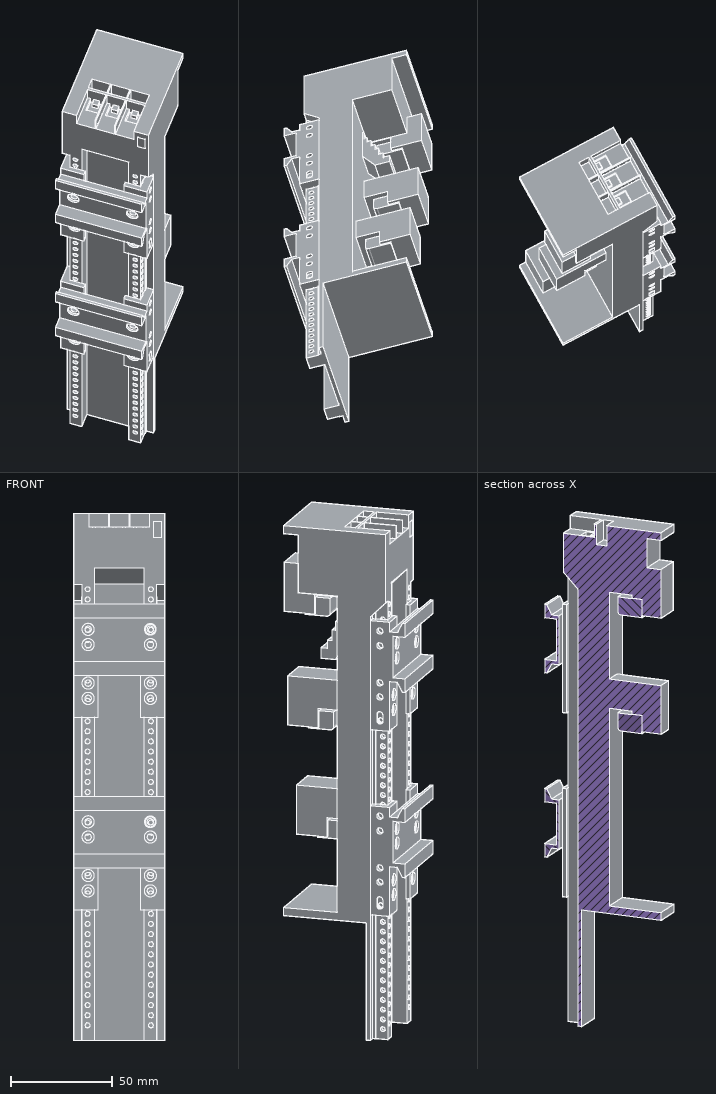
import cadquery as cq


WIDTH = 45.0
HEIGHT = 260.0
HALF_WIDTH = WIDTH / 2
REAR_Y = 52.8
HEAD_REAR_Y = 45.2
BACK_Y = 25.0
FLOOR_Y = 7.8
TAIL_REAR_Y = 10.0
HEAD_BOTTOM_Z = 226.2
MAIN_BOTTOM_Z = 60.0
LIP_THICKNESS = 4.2

RIDGE_INNER_X = 12.2
RIDGE_OUTER_X = 18.5
RIDGE_FOOT_LEDGE = 0.3
RIDGE_FOOT_Y = 6.2
CHANNEL_TOP_Z = 233.0
RECESS_TOP_Z = 225.0
HOLE_PITCH = HEIGHT / 52
FRONT_HOLE_DIAMETER = 2.4
FRONT_HOLE_X = 15.5
FRONT_HOLE_FIRST_Z = 7.5
FRONT_HOLE_COUNT = 44
SIDE_HOLE_DIAMETER = 2.5
SIDE_HOLE_Y = 2.5
SIDE_HOLE_FIRST_Z = 5.2
SIDE_HOLE_COUNT = 43
PERFORATION_DEPTH = 2.5

CHAMBER_COUNT = 3
CHAMBER_PITCH = 10.1
CHAMBER_DIVIDER = 0.5
CHAMBER_REAR_Y = 23.5
CHAMBER_DEPTH = 6.8
WELL_FRONT_Y = 18.0
WELL_DEPTH = 10.5
CHAMBER_WALL_THICKNESS = 1.3
CLAMP_WIDTH = 6.2
CLAMP_FRONT_Y = 9.4
CLAMP_DEPTH = 2.5
CLAMP_TONGUE_WIDTH = 3.0
CLAMP_TONGUE_LENGTH = 2.9

BUSBAR_PITCH = 59.8
FIRST_HOOK_TOP_Z = 241.0
HOOK_HEIGHT = 25.2
HOOK_ARM_HEIGHT = 15.3
HOOK_JAW_Y = 37.0
HOOK_WIDTH = 18.0
HOOK_LEFT_XS = (-21.5, -15.9, -1.8)
CLIP_INSET = 1.5
CLIP_REAR_Y = 42.5
CLIP_FRONT_Y = 29.5
CLIP_GAP = 1.5
CLIP_DROP = 1.0
CLIP_FILLET = 1.8

LATCH_WIDTH = 10.5
LATCH_TIP_Y = 39.0
LATCH_TIP_TOP_Z = 194.0
LATCH_BOTTOM_Z = 188.5
LATCH_HEEL_Y = 31.5
LATCH_ROOT_Z = 200.0
LATCH_STEP_POINTS = ((35.5, 198.0), (33.3, 203.5), (31.5, 208.0), (29.5, 212.7), (27.3, 216.5))
LATCH_LIP_Y = 25.7
LATCH_TOP_Z = 222.3

LABEL_LEFT_X = 17.0
LABEL_WIDTH = 4.0
LABEL_BOTTOM_Z = 248.0
LABEL_HEIGHT = 7.8
LABEL_THICKNESS = 1.3

CARRIER_TOP_ZS = (215.3, 120.5)
CARRIER_HEIGHT = 56.0
CARRIER_FRONT_Y = -2.2
FOOT_INNER_X = 10.5
RAIL_HEIGHT = 35.4
RAIL_FRONT_Y = -10.1
RAIL_WEB_FRONT_Y = -4.0
RAIL_EDGE_Z = 7.0
RAIL_FLANGE_THICKNESS = 2.0
RAIL_SLOPE_Y = -6.2
RAIL_TIP_Y = -8.8
SCREW_X = 15.3
SCREW_DROPS = (12.5, 20.0, 39.0, 46.5)
SCREW_HOLE_DIAMETER = 3.0
SCREW_HEAD_DIAMETER = 6.0
SCREW_HEAD_DEPTH = 1.0
STEPPED_HEAD_DIAMETERS = (5.7, 5.0)
PIN_HOLE_DIAMETER = 3.0
PIN_HOLE_Y = 2.9
PIN_HOLE_DROPS = (5.0, 12.5, 31.5, 38.7)
PIN_HOLE_DEPTH = 2.5
SLOT_TOP_DROP = 47.8
SLOT_BOTTOM_DROP = 51.0
SLOT_DEPTH = 1.3
SLOT_HOLE_DIAMETER = 2.4


def box(x_range, y_range, z_range):
    """A box given by its (low, high) limits along each axis."""
    (x0, x1), (y0, y1), (z0, z1) = x_range, y_range, z_range
    return cq.Workplane("XY").box(x1 - x0, y1 - y0, z1 - z0, centered=False).translate((x0, y0, z0))


def side_profile(points, x_range):
    """A prism along X from an outline of (y, z) points."""
    x0, x1 = x_range
    return cq.Workplane("YZ").polyline(points).close().extrude(x1 - x0).translate((x0, 0, 0))


def mirrored(half):
    """A shape together with its mirror image across the middle of the part."""
    return half.union(half.mirror("YZ"))


def front_cylinder(diameter, depth, x, front_y, z):
    """A cylinder running from front_y toward +Y."""
    return cq.Solid.makeCylinder(diameter / 2, depth, cq.Vector(x, front_y, z), cq.Vector(0, 1, 0))


def side_cylinders(diameter, depth, outer_x, y, z):
    """Two cylinders running inward along X from the left and right sides."""
    return [
        cq.Solid.makeCylinder(diameter / 2, depth, cq.Vector(side * outer_x, y, z), cq.Vector(-side, 0, 0))
        for side in (-1, 1)
    ]


def hook_top(index):
    return FIRST_HOOK_TOP_Z - index * BUSBAR_PITCH


def make_hook(index):
    """An arm from the back of the housing with a jaw hanging from its end."""
    top_z = hook_top(index)
    arm_z = top_z - HOOK_ARM_HEIGHT
    bottom_z = top_z - HOOK_HEIGHT
    outline = [
        (BACK_Y, top_z), (REAR_Y, top_z), (REAR_Y, bottom_z),
        (HOOK_JAW_Y, bottom_z), (HOOK_JAW_Y, arm_z), (BACK_Y, arm_z),
    ]
    left_x = HOOK_LEFT_XS[index]
    return side_profile(outline, (left_x, left_x + HOOK_WIDTH))


def make_clip(index):
    """A contact clip let into the jaw of a hook."""
    top_z = hook_top(index) - HOOK_ARM_HEIGHT - CLIP_GAP
    bottom_z = hook_top(index) - HOOK_HEIGHT - CLIP_DROP
    left_x = HOOK_LEFT_XS[index] + CLIP_INSET
    right_x = HOOK_LEFT_XS[index] + HOOK_WIDTH - CLIP_INSET
    clip = box((left_x, right_x), (CLIP_FRONT_Y, CLIP_REAR_Y), (bottom_z, top_z))
    return clip.edges("<Y and <Z").fillet(CLIP_FILLET)


def make_front_recesses():
    """The middle channel and the two side recesses, each with a 45 degree upper end."""
    def recess(x_range, top_z, floor_y):
        outline = [(0, 0), (floor_y, 0), (floor_y, top_z - floor_y), (0, top_z)]
        return side_profile(outline, x_range)

    foot_x = RIDGE_OUTER_X + RIDGE_FOOT_LEDGE
    side = recess((RIDGE_OUTER_X, HALF_WIDTH), RECESS_TOP_Z, RIDGE_FOOT_Y)
    side = side.union(recess((foot_x, HALF_WIDTH), RECESS_TOP_Z, FLOOR_Y))
    middle = recess((-RIDGE_INNER_X, RIDGE_INNER_X), CHANNEL_TOP_Z, FLOOR_Y)
    return mirrored(side).union(middle)


def make_perforations():
    """Rows of blind holes in the front and the outer side of both ridges."""
    holes = []
    for i in range(FRONT_HOLE_COUNT):
        z = FRONT_HOLE_FIRST_Z + i * HOLE_PITCH
        for x in (-FRONT_HOLE_X, FRONT_HOLE_X):
            holes.append(front_cylinder(FRONT_HOLE_DIAMETER, PERFORATION_DEPTH, x, 0, z))
    for i in range(SIDE_HOLE_COUNT):
        z = SIDE_HOLE_FIRST_Z + i * HOLE_PITCH
        holes += side_cylinders(SIDE_HOLE_DIAMETER, PERFORATION_DEPTH, RIDGE_OUTER_X, SIDE_HOLE_Y, z)
    return cq.Compound.makeCompound(holes)


def make_chamber(centre_x):
    """The space of one terminal chamber, open to the top and the front."""
    half = (CHAMBER_PITCH - CHAMBER_DIVIDER) / 2
    x_range = (centre_x - half, centre_x + half)
    floor_z = HEIGHT - CHAMBER_DEPTH
    wall_front_y = WELL_FRONT_Y - CHAMBER_WALL_THICKNESS
    chamber = box(x_range, (0, wall_front_y), (floor_z, HEIGHT))
    well = box(x_range, (WELL_FRONT_Y, CHAMBER_REAR_Y), (HEIGHT - WELL_DEPTH, HEIGHT))
    clamp_x = (centre_x - CLAMP_WIDTH / 2, centre_x + CLAMP_WIDTH / 2)
    tongue_x = (centre_x - CLAMP_TONGUE_WIDTH / 2, centre_x + CLAMP_TONGUE_WIDTH / 2)
    clamp_z = (floor_z - CLAMP_DEPTH, floor_z)
    clamp = box(clamp_x, (CLAMP_FRONT_Y, wall_front_y), clamp_z)
    tongue = box(tongue_x, (wall_front_y - CLAMP_TONGUE_LENGTH, wall_front_y), clamp_z)
    return chamber.union(well).union(clamp.cut(tongue))


def make_label():
    return box(
        (LABEL_LEFT_X, LABEL_LEFT_X + LABEL_WIDTH),
        (0, LABEL_THICKNESS),
        (LABEL_BOTTOM_Z, LABEL_BOTTOM_Z + LABEL_HEIGHT),
    )


def make_housing(clips, label):
    full_width = (-HALF_WIDTH, HALF_WIDTH)
    outline = [
        (0, 0), (TAIL_REAR_Y, 0), (TAIL_REAR_Y, MAIN_BOTTOM_Z), (REAR_Y, MAIN_BOTTOM_Z),
        (REAR_Y, MAIN_BOTTOM_Z + LIP_THICKNESS), (BACK_Y, MAIN_BOTTOM_Z + LIP_THICKNESS),
        (BACK_Y, HEAD_BOTTOM_Z), (HEAD_REAR_Y, HEAD_BOTTOM_Z),
        (HEAD_REAR_Y, HEIGHT - LIP_THICKNESS), (REAR_Y, HEIGHT - LIP_THICKNESS),
        (REAR_Y, HEIGHT), (0, HEIGHT),
    ]
    housing = side_profile(outline, full_width)
    for index in range(len(HOOK_LEFT_XS)):
        housing = housing.union(make_hook(index))
    housing = housing.cut(make_front_recesses())
    housing = housing.cut(cq.Workplane(make_perforations()))
    for i in range(CHAMBER_COUNT):
        housing = housing.cut(make_chamber((i - (CHAMBER_COUNT - 1) / 2) * CHAMBER_PITCH))
    for insert in [*clips, label]:
        housing = housing.cut(insert)
    return housing


def make_latch():
    """A toothed latch that slants down and away from the back of the housing."""
    outline = [
        (BACK_Y, LATCH_ROOT_Z), (LATCH_HEEL_Y, LATCH_BOTTOM_Z),
        (LATCH_TIP_Y, LATCH_BOTTOM_Z), (LATCH_TIP_Y, LATCH_TIP_TOP_Z),
    ]
    for step_y, step_top_z in LATCH_STEP_POINTS:
        outline.append((step_y, outline[-1][1]))
        outline.append((step_y, step_top_z))
    outline += [(LATCH_LIP_Y, outline[-1][1]), (LATCH_LIP_Y, LATCH_TOP_Z), (BACK_Y, LATCH_TOP_Z)]
    return side_profile(outline, (-LATCH_WIDTH / 2, LATCH_WIDTH / 2))


def make_rail(top_z):
    """A top hat rail, symmetric about its own middle height."""
    middle_z = top_z - RAIL_HEIGHT / 2
    inner_z = RAIL_HEIGHT / 2 - RAIL_EDGE_Z
    flange_z = inner_z + RAIL_FLANGE_THICKNESS
    upper = [
        (CARRIER_FRONT_Y, flange_z), (RAIL_SLOPE_Y, flange_z), (RAIL_TIP_Y, RAIL_HEIGHT / 2),
        (RAIL_FRONT_Y, RAIL_HEIGHT / 2), (RAIL_FRONT_Y, inner_z), (RAIL_WEB_FRONT_Y, inner_z),
    ]
    lower = [(y, -z) for y, z in reversed(upper)]
    outline = [(y, middle_z + z) for y, z in upper + lower]
    return side_profile(outline, (-HALF_WIDTH, HALF_WIDTH))


def make_screw_seats(top_z):
    """Counterbored through holes, two columns of four."""
    cutters = []
    for row, drop in enumerate(SCREW_DROPS):
        z = top_z - drop
        front_y = RAIL_WEB_FRONT_Y if drop < RAIL_HEIGHT else CARRIER_FRONT_Y
        for x in (-SCREW_X, SCREW_X):
            cutters.append(front_cylinder(SCREW_HOLE_DIAMETER, -front_y, x, front_y, z))
            stepped = row == 0 and x > 0
            heads = STEPPED_HEAD_DIAMETERS if stepped else (SCREW_HEAD_DIAMETER,)
            for step, diameter in enumerate(heads, start=1):
                depth = SCREW_HEAD_DEPTH * step
                cutters.append(front_cylinder(diameter, depth, x, front_y, z))
    return cutters


def make_side_slots(top_z):
    """A shallow vertical slot in the outer side of each foot."""
    overall_length = SLOT_BOTTOM_DROP - SLOT_TOP_DROP + PIN_HOLE_DIAMETER
    centre_z = top_z - (SLOT_TOP_DROP + SLOT_BOTTOM_DROP) / 2
    slot = (
        cq.Workplane("YZ", origin=(HALF_WIDTH - SLOT_DEPTH, PIN_HOLE_Y, centre_z))
        .slot2D(overall_length, PIN_HOLE_DIAMETER, angle=90)
        .extrude(SLOT_DEPTH)
    )
    return mirrored(slot)


def make_carrier(top_z):
    """Two feet that wrap the outside of the ridges, joined by a rail."""
    z_range = (top_z - CARRIER_HEIGHT, top_z)
    foot = box((FOOT_INNER_X, HALF_WIDTH), (CARRIER_FRONT_Y, 0), z_range)
    foot = foot.union(box((RIDGE_OUTER_X, HALF_WIDTH), (0, RIDGE_FOOT_Y), z_range))
    foot_x = RIDGE_OUTER_X + RIDGE_FOOT_LEDGE
    foot = foot.union(box((foot_x, HALF_WIDTH), (RIDGE_FOOT_Y, FLOOR_Y), z_range))
    carrier = mirrored(foot).union(make_rail(top_z))
    cutters = make_screw_seats(top_z)
    for drop in PIN_HOLE_DROPS:
        cutters += side_cylinders(PIN_HOLE_DIAMETER, PIN_HOLE_DEPTH, HALF_WIDTH, PIN_HOLE_Y, top_z - drop)
    cutters += side_cylinders(
        SLOT_HOLE_DIAMETER, PIN_HOLE_DEPTH, HALF_WIDTH, PIN_HOLE_Y, top_z - SLOT_BOTTOM_DROP
    )
    for cutter in cutters:
        carrier = carrier.cut(cq.Workplane(cutter))
    return carrier.cut(make_side_slots(top_z))


clips = [make_clip(index) for index in range(len(HOOK_LEFT_XS))]
label = make_label()
housing = make_housing(clips, label)
latch = make_latch()
carriers = [make_carrier(top_z) for top_z in CARRIER_TOP_ZS]

result = cq.Compound.makeCompound(
    [housing.val(), latch.val(), label.val()]
    + [clip.val() for clip in clips]
    + [carrier.val() for carrier in carriers]
)